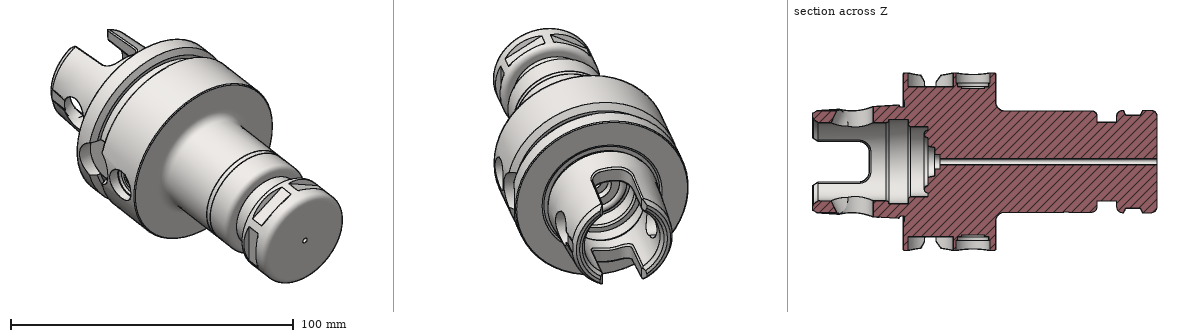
import cadquery as cq
import math


total_length = 122.0
flange_diameter = 63.0
flange_radius = flange_diameter / 2
flange_start = 32.1
flange_end = 64.9
flange_edge_chamfer = 0.4

mouth_radius = 17.2
mouth_chamfer_length = 2.1
taper_small_radius = 18.3
taper_large_radius = 20.1
taper_end = 30.6
undercut_radius = 19.4
undercut_slope = 0.5
recess_depth = 0.4
recess_inner_radius = 21.1
recess_outer_radius = 21.8

groove_start = 38.4
groove_end = 45.5
groove_floor_start = 39.8
groove_floor_end = 43.7
groove_floor_radius = 27.8
groove_bevel_depth = 2.3

body_radius = 36.0 / 2
body_fillet = 3.2
body_end = 100.8
body_edge_round = 2.0
band_start = 88.8
band_end = 90.8
band_depth = 0.1
neck_radius = 28.0 / 2
nut_radius = 18.2
nut_start = 107.6
nut_round = 2.2

flat_count = 6
flat_apothem = 16.5
flat_floor_start = 110.9
flat_floor_end = 116.0
flat_wall_slope = 0.5

bore_face_radius = 16.0
bore_lead_in_radius = 14.9
bore_lead_in_start = 0.5
bore_radius = 13.8
bore_end = 26.1
bore_end_flare_radius = 14.2
clamp_groove_start = 27.1
clamp_groove_end = 33.9
clamp_groove_radius = 14.9
deep_bore_radius = 12.3
deep_bore_chamfer = 0.7
deep_bore_end = 40.9
ring_inner_diameter = 17.0
ring_outer_diameter = 22.3
socket_diameter = 11.0
socket_floor_diameter = 10.0
socket_depth = 2.5
pilot_diameter = 5.0
pilot_depth = 1.8
coolant_diameter = 2.0

slot_width = 14.3
slot_end = 20.1
slot_corner_radius = 3.8
slot_flare = 1.3
slot_edge_chamfer = 0.6

cross_hole_x = 15.2
cross_hole_diameter = 12.5
relief_diameter = 11.2
relief_tilt = 25.0
relief_pivot_radius = 18.8
relief_length = 9.8
keyway_width = 4.8
keyway_floor = 18.0
side_pocket_x = 41.8
side_pocket_diameter = 16.0
side_pocket_floor = 26.6
stepped_hole_x = 56.9
stepped_hole_diameter = 12.0
stepped_hole_depth = 3.7
stepped_hole_thread_diameter = 11.0
stepped_hole_thread_depth = 4.9
stepped_hole_core_diameter = 8.0
stepped_hole_core_depth = 5.5


def revolve_about_x(profile):
    return profile.close().revolve(360, (0, 0, 0), (1, 0, 0))


def outer_body():
    bevel_radius = flange_radius - groove_bevel_depth
    rim = flange_radius - flange_edge_chamfer
    cos_45 = math.sqrt(0.5)
    fillet_inset = body_fillet * (1 - cos_45)
    edge_inset = body_edge_round * (1 - cos_45)
    nut_inner = nut_radius - nut_round
    profile = (
        cq.Workplane("XY")
        .moveTo(0, 0)
        .lineTo(0, mouth_radius)
        .lineTo(mouth_chamfer_length, taper_small_radius)
        .lineTo(taper_end, taper_large_radius)
        .lineTo(taper_end + undercut_slope, undercut_radius)
        .lineTo(flange_start + recess_depth, undercut_radius)
        .lineTo(flange_start + recess_depth, recess_inner_radius)
        .lineTo(flange_start, recess_outer_radius)
        .lineTo(flange_start, rim)
        .lineTo(flange_start + flange_edge_chamfer, flange_radius)
        .lineTo(groove_start, flange_radius)
        .lineTo(groove_floor_start, bevel_radius)
        .lineTo(groove_floor_start, groove_floor_radius)
        .lineTo(groove_floor_end, groove_floor_radius)
        .lineTo(groove_floor_end, bevel_radius)
        .lineTo(groove_end, flange_radius)
        .lineTo(flange_end - flange_edge_chamfer, flange_radius)
        .lineTo(flange_end, rim)
        .lineTo(flange_end, body_radius + body_fillet)
        .threePointArc(
            (flange_end + fillet_inset, body_radius + fillet_inset),
            (flange_end + body_fillet, body_radius),
        )
        .lineTo(band_start, body_radius)
        .lineTo(band_start, body_radius - band_depth)
        .lineTo(band_end, body_radius - band_depth)
        .lineTo(band_end, body_radius)
        .lineTo(body_end - body_edge_round, body_radius)
        .threePointArc(
            (body_end - edge_inset, body_radius - edge_inset),
            (body_end, body_radius - body_edge_round),
        )
        .lineTo(body_end, neck_radius)
        .lineTo(nut_start, neck_radius)
        .lineTo(nut_start, nut_inner)
        .threePointArc(
            (nut_start + nut_round * (1 - cos_45), nut_inner + nut_round * cos_45),
            (nut_start + nut_round, nut_radius),
        )
        .lineTo(total_length - nut_round, nut_radius)
        .threePointArc(
            (total_length - nut_round * (1 - cos_45), nut_inner + nut_round * cos_45),
            (total_length, nut_inner),
        )
        .lineTo(total_length, 0)
    )
    return revolve_about_x(profile)


def inner_cavity():
    ring_inner = ring_inner_diameter / 2
    ring_outer = ring_outer_diameter / 2
    ring_round = (ring_outer - ring_inner) / 2
    socket_end = deep_bore_end + socket_depth
    pilot_end = socket_end + pilot_depth
    profile = (
        cq.Workplane("XY")
        .moveTo(0, 0)
        .lineTo(0, bore_face_radius)
        .lineTo(bore_lead_in_start, bore_lead_in_radius)
        .lineTo(mouth_chamfer_length, bore_radius)
        .lineTo(bore_end, bore_radius)
        .lineTo(clamp_groove_start, bore_end_flare_radius)
        .lineTo(clamp_groove_start, clamp_groove_radius)
        .lineTo(clamp_groove_end, clamp_groove_radius)
        .lineTo(clamp_groove_end, deep_bore_radius + deep_bore_chamfer)
        .lineTo(clamp_groove_end + deep_bore_chamfer, deep_bore_radius)
        .lineTo(deep_bore_end, deep_bore_radius)
        .lineTo(deep_bore_end, ring_outer)
        .threePointArc(
            (deep_bore_end - ring_round, ring_inner + ring_round),
            (deep_bore_end, ring_inner),
        )
        .lineTo(deep_bore_end, socket_diameter / 2)
        .lineTo(socket_end, socket_floor_diameter / 2)
        .lineTo(socket_end, pilot_diameter / 2)
        .lineTo(pilot_end, pilot_diameter / 2)
        .lineTo(pilot_end, coolant_diameter / 2)
        .lineTo(total_length, coolant_diameter / 2)
        .lineTo(total_length, 0)
    )
    return revolve_about_x(profile)


def drive_slot():
    half = slot_width / 2
    flared = half + slot_flare
    height = 2 * flange_radius
    return (
        cq.Workplane("XY")
        .workplane(offset=-height / 2)
        .moveTo(0, -flared)
        .lineTo(mouth_chamfer_length, -half)
        .lineTo(slot_end, -half)
        .lineTo(slot_end, half)
        .lineTo(mouth_chamfer_length, half)
        .lineTo(0, flared)
        .close()
        .extrude(height)
        .edges("|Z and >X")
        .fillet(slot_corner_radius)
    )


def side_bore(x, diameter, floor):
    """Cylinder entering from the -Y side down to the given distance from the axis."""
    return (
        cq.Workplane("XZ", origin=(x, -floor, 0))
        .circle(diameter / 2)
        .extrude(flange_radius)
    )


def keyway():
    length = cross_hole_x
    depth = taper_large_radius - keyway_floor
    return (
        cq.Workplane("XY", origin=(0, -taper_large_radius, 0))
        .box(length, depth, keyway_width, centered=(False, False, True))
    )


def hole_relief():
    """Leaning bore that opens the inner end of the cross hole towards the mouth."""
    lean = math.radians(relief_tilt)
    direction = (-math.sin(lean), math.cos(lean), 0)
    edge_x = cross_hole_x - cross_hole_diameter / 2
    start_x = edge_x + relief_diameter / 2 / math.cos(lean)
    plane = cq.Plane(origin=(start_x, -relief_pivot_radius, 0), xDir=(0, 0, 1), normal=direction)
    return cq.Workplane(plane).circle(relief_diameter / 2).extrude(relief_length)


def stepped_hole():
    steps = [
        (stepped_hole_diameter, stepped_hole_depth),
        (stepped_hole_thread_diameter, stepped_hole_thread_depth),
        (stepped_hole_core_diameter, stepped_hole_core_depth),
    ]
    hole = cq.Workplane("XY")
    for diameter, depth in steps:
        hole = hole.union(side_bore(stepped_hole_x, diameter, flange_radius - depth))
    return hole


def side_features():
    """Cutter for the -Y side of the shank and flange, apart from the through cross hole."""
    pocket = side_bore(side_pocket_x, side_pocket_diameter, side_pocket_floor)
    return keyway().union(hole_relief()).union(pocket).union(stepped_hole())


def wrench_flat():
    """Trapezoid cutter for one flat on the -Y side of the nut."""
    depth = flange_radius - flat_apothem
    spread = depth * flat_wall_slope
    return (
        cq.Workplane("XY")
        .workplane(offset=-nut_radius)
        .moveTo(flat_floor_start, -flat_apothem)
        .lineTo(flat_floor_end, -flat_apothem)
        .lineTo(flat_floor_end + spread, -flange_radius)
        .lineTo(flat_floor_start - spread, -flange_radius)
        .close()
        .extrude(2 * nut_radius)
    )


def cross_hole():
    return (
        cq.Workplane("XZ", origin=(cross_hole_x, 0, 0))
        .circle(cross_hole_diameter / 2)
        .extrude(flange_radius, both=True)
    )


def slotted_shank(body):
    """Cut the drive slots and break the edges of their parallel sides and ends."""
    margin = 0.1
    half = slot_width / 2 + margin
    edge_zone = cq.selectors.BoxSelector(
        (mouth_chamfer_length + margin, -half, -flange_radius),
        (slot_end + margin, half, flange_radius),
    )
    return body.cut(drive_slot()).edges(edge_zone).edges("not |Z").chamfer(slot_edge_chamfer)


result = slotted_shank(outer_body().cut(inner_cavity()))
result = result.cut(cross_hole())
result = result.cut(side_features()).cut(side_features().rotate((0, 0, 0), (1, 0, 0), 180))
for index in range(flat_count):
    result = result.cut(wrench_flat().rotate((0, 0, 0), (1, 0, 0), index * 360 / flat_count))